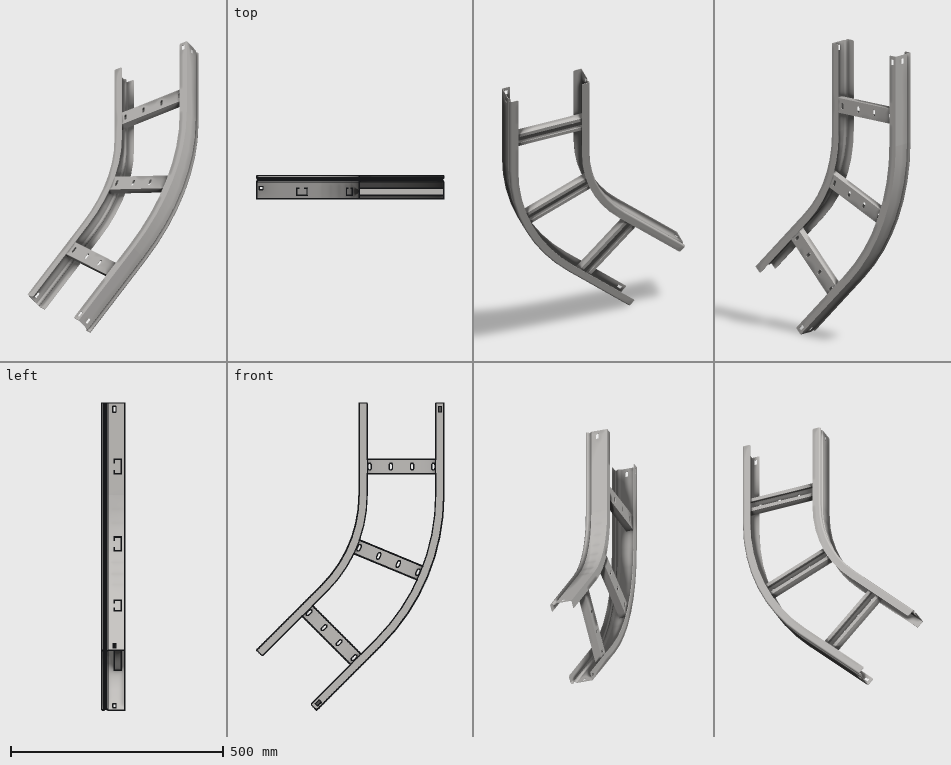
import cadquery as cq
import math


bend_angle = 45.0
outer_radius = 500.0
inner_radius = 299.15
straight_length = 217.0
rung_from_end = 150.0

rail_depth = 55.0
rail_sheet = 1.2
flange_width = 20.0
back_corner_radius = 4.0
groove_start = 40.0
groove_end = 49.5
groove_depth = 3.5
groove_wall_run = 3.5
tip_radius = 3.0

hole_width = 7.0
hole_length = 13.0
hole_from_end = 15.0
web_hole_y = 25.0
flange_hole_inset = 10.0
hole_cut_depth = 4 * rail_sheet

rung_inner_radius = inner_radius + rail_sheet
rung_outer_radius = outer_radius - rail_sheet
rung_height = 36.0
rung_depth = 18.0
rung_front = 8.0
rung_sheet = 1.5
rung_lip = 9.0
rung_slot_width = 7.0
rung_slot_length = 15.5
rung_slot_pitch = 50.0
rung_slot_count = 4


def rail_section():
    """Closed section at Z = 0: web along Y with its outside face at X = 0, flanges toward +X."""
    back = back_corner_radius
    groove_floor = groove_depth + rail_sheet
    shift = rail_sheet * math.tan(math.atan2(groove_depth, groove_wall_run) / 2)
    return (
        cq.Workplane("XY")
        .moveTo(flange_width, 0)
        .lineTo(0, 0)
        .lineTo(0, groove_start)
        .lineTo(groove_depth, groove_start + groove_wall_run)
        .lineTo(groove_depth, groove_end - groove_wall_run)
        .lineTo(0, groove_end)
        .lineTo(0, rail_depth - back)
        .tangentArcPoint((back, rail_depth), relative=False)
        .lineTo(flange_width, rail_depth)
        .lineTo(flange_width, rail_depth - rail_sheet)
        .lineTo(back, rail_depth - rail_sheet)
        .tangentArcPoint((rail_sheet, rail_depth - back), relative=False)
        .lineTo(rail_sheet, groove_end + shift)
        .lineTo(groove_floor, groove_end - groove_wall_run + shift)
        .lineTo(groove_floor, groove_start + groove_wall_run - shift)
        .lineTo(rail_sheet, groove_start - shift)
        .lineTo(rail_sheet, rail_sheet)
        .lineTo(flange_width, rail_sheet)
        .close()
    )


def rail_straight(flange_hole):
    """Upper straight, web outside face at X = 0, flanges toward +X."""
    straight = rail_section().extrude(straight_length)
    straight = straight.faces(">Z").edges(">X").fillet(tip_radius)
    web_hole = cq.Workplane("XY").box(hole_cut_depth, hole_width, hole_length).translate(
        (0, web_hole_y, straight_length - hole_from_end)
    )
    straight = straight.cut(web_hole)
    if flange_hole:
        hole = cq.Workplane("XY").box(hole_width, hole_cut_depth, hole_length).translate(
            (flange_hole_inset, 0, straight_length - hole_from_end)
        )
        straight = straight.cut(hole)
    return straight


def place_on_bend(shape, angle):
    """Turn a shape about the bend axis, from the upper straight toward the lower one."""
    return shape.rotate((0, 0, 0), (0, 1, 0), angle)


def rail(web_radius, faces_out, flange_hole):
    """One rail; its flanges point away from the bend axis when faces_out is true."""

    def at_radius(shape):
        if not faces_out:
            shape = shape.mirror("YZ")
        return shape.translate((web_radius, 0, 0))

    upper = rail_straight(flange_hole)
    lower = place_on_bend(at_radius(upper.mirror("XY")), bend_angle)
    section = at_radius(cq.Workplane(obj=cq.Face.makeFromWires(rail_section().val())))
    arc = cq.Workplane(
        obj=cq.Solid.revolve(section.val(), bend_angle, cq.Vector(0, 0, 0), cq.Vector(0, 1, 0))
    )
    return at_radius(upper).union(arc).union(lower)


def rung_bar(end_allowance=0.0):
    """C-channel between the webs at Z = 0, open toward the back, with a row of slots in its front.

    The end allowance lengthens both ends, for trimming to a curved web.
    """
    span = rung_outer_radius - rung_inner_radius + 2 * end_allowance
    middle = (rung_outer_radius + rung_inner_radius) / 2

    def block(depth, height, front):
        return cq.Workplane("XY").box(span, depth, height).translate(
            (middle, front + depth / 2, 0)
        )

    bar = block(rung_depth, rung_height, rung_front)
    bar = bar.cut(
        block(rung_depth - 2 * rung_sheet, rung_height - 2 * rung_sheet, rung_front + rung_sheet)
    )
    bar = bar.cut(block(rung_depth, rung_height - 2 * rung_lip, rung_front + rung_sheet))
    slots = (
        cq.Workplane("XZ", origin=(middle, rung_front + rung_sheet, 0))
        .rarray(rung_slot_pitch, 1, rung_slot_count, 1)
        .slot2D(rung_slot_length, rung_slot_width, 90)
        .extrude(rung_sheet)
    )
    return bar.cut(slots)


def bend_ring():
    """Space between the inside faces of both webs along the bend."""
    return (
        cq.Workplane("XZ")
        .circle(rung_outer_radius)
        .circle(rung_inner_radius)
        .extrude(-rail_depth)
    )


bar = rung_bar()
rung_rise = straight_length - rung_from_end
rungs = [
    bar.translate((0, 0, rung_rise)),
    place_on_bend(rung_bar(rail_sheet).intersect(bend_ring()), bend_angle / 2),
    place_on_bend(bar.translate((0, 0, -rung_rise)), bend_angle),
]

inner_rail = rail(inner_radius, faces_out=True, flange_hole=False)
outer_rail = rail(outer_radius, faces_out=False, flange_hole=True)

result = cq.Compound.makeCompound(
    [inner_rail.val(), outer_rail.val(), *[rung.val() for rung in rungs]]
)